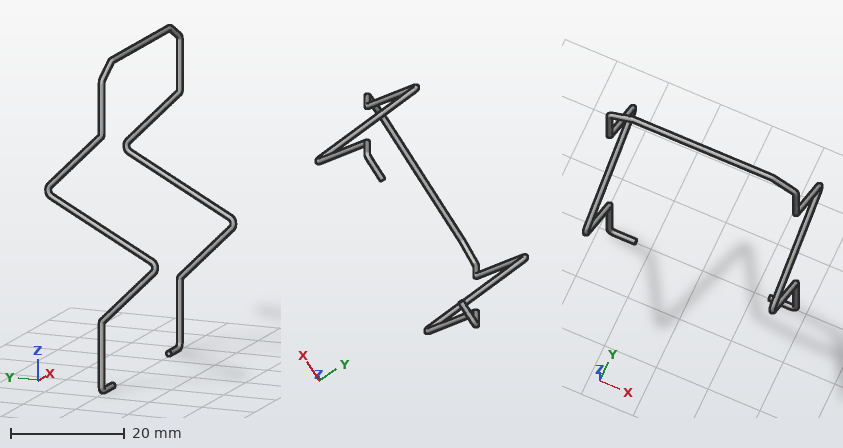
import cadquery as cq
import math

OVERALL_WIDTH = 37.0
OVERALL_DEPTH = 21.4
OVERALL_HEIGHT = 60.0

WIRE_DIAMETER = 1.0
BEND_RADIUS = 1.0
KNEE_RADIUS = 0.7
APEX_RADIUS = 1.25

SHOULDER_RUN = 4.55
SHOULDER_DROP = 2.65
HOOK_LENGTH = 5.1
KNEE_HEIGHT = 16.85
ZIGZAG_ANGLE = 45.0
APEX_OVERSHOOT = 0.85

half_width = (OVERALL_WIDTH - WIRE_DIAMETER) / 2
half_height = (OVERALL_HEIGHT - WIRE_DIAMETER) / 2
apex_y = (OVERALL_DEPTH - WIRE_DIAMETER) / 2 + APEX_OVERSHOOT
apex_z = KNEE_HEIGHT - apex_y * math.tan(math.radians(ZIGZAG_ANGLE))


def leg_corners(side):
    """Sharp corners and bend radii of one leg, from hook bend to bridge end."""
    x = side * half_width
    return [
        (cq.Vector(x, 0, -half_height), BEND_RADIUS),
        (cq.Vector(x, 0, -KNEE_HEIGHT), KNEE_RADIUS),
        (cq.Vector(x, -apex_y, -apex_z), APEX_RADIUS),
        (cq.Vector(x, apex_y, apex_z), APEX_RADIUS),
        (cq.Vector(x, 0, KNEE_HEIGHT), KNEE_RADIUS),
        (cq.Vector(x, 0, half_height - SHOULDER_DROP), BEND_RADIUS),
        (cq.Vector(x - side * SHOULDER_RUN, 0, half_height), BEND_RADIUS),
    ]


def bend_points(before, corner, after, radius):
    """Start, middle and end of the arc that rounds a corner of the centreline."""
    to_before = (before - corner).normalized()
    to_after = (after - corner).normalized()
    half_angle = to_before.getAngle(to_after) / 2
    setback = radius / math.tan(half_angle)
    middle_distance = radius / math.sin(half_angle) - radius
    bisector = (to_before + to_after).normalized()
    return corner + to_before * setback, corner + bisector * middle_distance, corner + to_after * setback


def rounded_path(start, corners, end):
    """Wire of straight runs joined by tangent arcs."""
    stops = [start] + [corner for corner, _ in corners] + [end]
    edges = []
    run_start = start
    for before, (corner, radius), after in zip(stops, corners, stops[2:]):
        bend_start, bend_middle, bend_end = bend_points(before, corner, after, radius)
        edges.append(cq.Edge.makeLine(run_start, bend_start))
        edges.append(cq.Edge.makeThreePointArc(bend_start, bend_middle, bend_end))
        run_start = bend_end
    edges.append(cq.Edge.makeLine(run_start, end))
    return cq.Wire.assembleEdges(edges)


hook_end_x = half_width - HOOK_LENGTH
left_tip = cq.Vector(-hook_end_x, 0, -half_height)
right_tip = cq.Vector(hook_end_x, 0, -half_height)
path = rounded_path(left_tip, leg_corners(-1) + leg_corners(1)[::-1], right_tip)

result = (
    cq.Workplane("YZ", origin=left_tip.toTuple())
    .circle(WIRE_DIAMETER / 2)
    .sweep(cq.Workplane(obj=path))
)